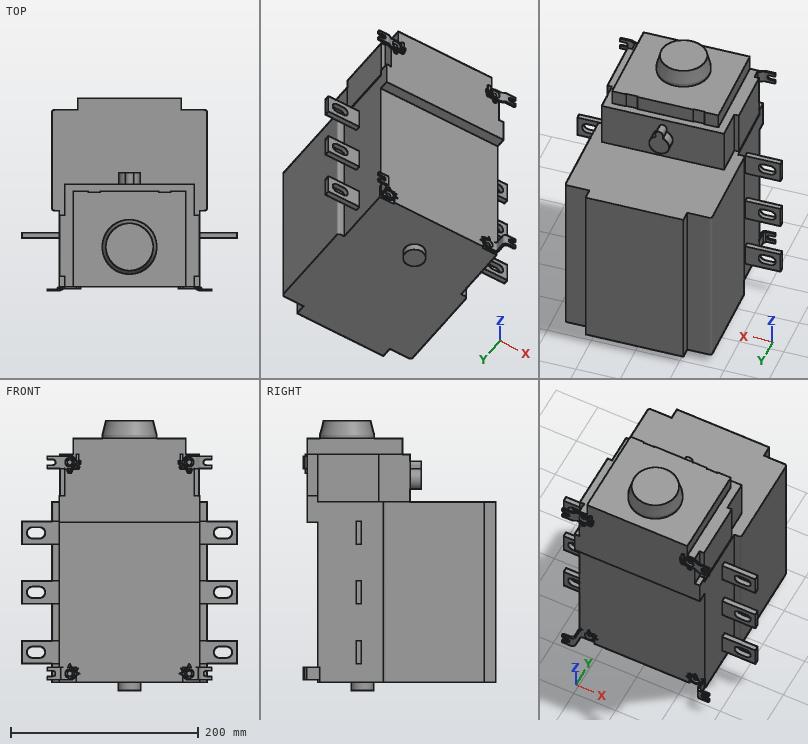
import cadquery as cq
import math

TOTAL_HEIGHT = 288.2
TOTAL_DEPTH = 205.8
BAR_SPAN = 229.7

HOUSING_BOTTOM = 8.6
HOUSING_TOP = 201.5
HOUSING_FRONT = 15.5
NARROW_WIDTH = 150.2
WIDE_WIDTH = 165.7
WIDE_FRONT = 85.5
WIDE_BACK = 193.5
WIDE_CORNER_RADIUS = 3.0
BACK_STEP_WIDTH = 110.7

DRIVE_FRONT = 4.3
DRIVE_BACK = 114.0
DRIVE_TOP = 252.2
DRIVE_CORE_WIDTH = 138.3
DRIVE_CHEEK_WIDTH = 148.7
CHEEK_BACK = 80.7
LIP_BOTTOM = 179.5
LIP_TOP = 207.8
HEAD_WIDTH = 120.2
HEAD_BACK = 106.3
HEAD_TOP = 269.2
HEAD_GROOVE_WIDTH = 12.7
HEAD_GROOVE_DEPTH = 1.0
HEAD_GROOVE_X = 37.8

KNOB_Y = 47.0
KNOB_BASE_DIAMETER = 58.2
KNOB_TOP_DIAMETER = 50.5
KNOB_COLLAR_HEIGHT = 3.7

PLUNGER_BACK = 126.2
PLUNGER_DIAMETER = 22.5
PLUNGER_Z = 226.2
KEY_WIDTH = 8.6
KEY_TOP = 245.0

BOSS_DIAMETER = 24.2
BOSS_Y = 63.5

BAR_HEIGHT = 24.5
BAR_FRONT = 56.5
BAR_THICKNESS = 5.8
BAR_CENTRES = (41.0, 105.0, 168.3)
BAR_HOLE_LENGTH = 19.3
BAR_HOLE_HEIGHT = 11.8
BAR_HOLE_X = 99.7

SHEET = 2.0
BRACKET_WIDTH = 13.5
BRACKET_X = 63.7
UPPER_BRACKET_Z = 243.5
LOWER_BRACKET_Z = 18.2
BRACKET_REACH = 88.0
BEND_RADIUS = 2.0
ARM_INNER_X = 73.2
JOG_START_X = 70.3
JOG_END_X = 75.2
FORK_SLOT_WIDTH = 5.8
FORK_SLOT_END_X = 79.0
FORK_TIP_RADIUS = 1.2
SINK_DIAMETER = 9.8
SINK_FLOOR_DIAMETER = 5.8
UPPER_PAD_FRONT = DRIVE_FRONT - SHEET

TOOTH_ANGLES = (0, 32, 90)
TOOTH_TIP_RADIUS = 10.5
TOOTH_ROOT_RADIUS = 5.8
TOOTH_ROOT_HALF_WIDTH = 2.5
RIM = 1.5
RIM_INNER_REACH = 9.8
RIM_LOW_REACH = 7.2


def block(width, front, back, bottom, top, x=0.0):
    """Box centred on x, spanning front to back and bottom to top."""
    return cq.Workplane("XY").box(width, back - front, top - bottom).translate(
        (x, (front + back) / 2, (bottom + top) / 2)
    )


def slab(front, back, z=0.0):
    """Sketch plane facing -Y with its origin at (0, front, z), and the depth to extrude."""
    plane = cq.Workplane("XZ", origin=(0, front, z))
    return plane, front - back


def both_sides(right_half):
    return right_half.union(right_half.mirror("YZ"))


def housing():
    narrow = block(NARROW_WIDTH, HOUSING_FRONT, WIDE_BACK, HOUSING_BOTTOM, HOUSING_TOP)
    wide = block(WIDE_WIDTH, WIDE_FRONT, WIDE_BACK, HOUSING_BOTTOM, HOUSING_TOP)
    wide = wide.edges("|Z").fillet(WIDE_CORNER_RADIUS)
    back_step = block(BACK_STEP_WIDTH, WIDE_FRONT, TOTAL_DEPTH, HOUSING_BOTTOM, HOUSING_TOP)
    return narrow.union(wide).union(back_step)


def drive_unit():
    core = block(DRIVE_CORE_WIDTH, DRIVE_FRONT, DRIVE_BACK, LIP_BOTTOM, DRIVE_TOP)
    cheeks = block(DRIVE_CHEEK_WIDTH, HOUSING_FRONT, CHEEK_BACK, LIP_BOTTOM, DRIVE_TOP)
    lip = block(NARROW_WIDTH, DRIVE_FRONT, HOUSING_FRONT, LIP_BOTTOM, LIP_TOP)
    head = block(HEAD_WIDTH, DRIVE_FRONT, HEAD_BACK, DRIVE_TOP, HEAD_TOP)
    for x in (-HEAD_GROOVE_X, HEAD_GROOVE_X):
        groove_front = HEAD_BACK - HEAD_GROOVE_DEPTH
        head = head.cut(
            block(HEAD_GROOVE_WIDTH, groove_front, HEAD_BACK, DRIVE_TOP, HEAD_TOP, x)
        )
    return core.union(cheeks).union(lip).union(head)


def knob():
    base_radius = KNOB_BASE_DIAMETER / 2
    collar_top = HEAD_TOP + KNOB_COLLAR_HEIGHT
    profile = (
        cq.Workplane("XZ")
        .moveTo(0, HEAD_TOP)
        .lineTo(base_radius, HEAD_TOP)
        .lineTo(base_radius, collar_top)
        .lineTo(KNOB_TOP_DIAMETER / 2, TOTAL_HEIGHT)
        .lineTo(0, TOTAL_HEIGHT)
        .close()
    )
    return profile.revolve(360, (0, 0, 0), (0, 1, 0)).translate((0, KNOB_Y, 0))


def plunger():
    plane, depth = slab(DRIVE_BACK, PLUNGER_BACK, z=PLUNGER_Z)
    barrel = plane.circle(PLUNGER_DIAMETER / 2).extrude(depth)
    key_centre = KEY_TOP - KEY_WIDTH / 2
    key = block(KEY_WIDTH, DRIVE_BACK, PLUNGER_BACK, PLUNGER_Z, key_centre)
    plane, depth = slab(DRIVE_BACK, PLUNGER_BACK, z=key_centre)
    key_end = plane.circle(KEY_WIDTH / 2).extrude(depth)
    return barrel.union(key).union(key_end)


def bottom_boss():
    return (
        cq.Workplane("XY")
        .center(0, BOSS_Y)
        .circle(BOSS_DIAMETER / 2)
        .extrude(HOUSING_BOTTOM)
    )


def terminal_bar(z):
    back = BAR_FRONT + BAR_THICKNESS
    bar = block(BAR_SPAN, BAR_FRONT, back, z - BAR_HEIGHT / 2, z + BAR_HEIGHT / 2)
    plane, depth = slab(BAR_FRONT, back, z=z)
    holes = (
        plane.pushPoints([(-BAR_HOLE_X, 0), (BAR_HOLE_X, 0)])
        .slot2D(BAR_HOLE_LENGTH, BAR_HOLE_HEIGHT)
        .extrude(depth)
    )
    return bar.cut(holes)


def tooth(angle, front, back, margin):
    """Triangular tooth pointing away from the bracket hole; angle 0 points to -X."""
    tip = TOOTH_TIP_RADIUS + margin
    half_width = TOOTH_ROOT_HALF_WIDTH + margin
    points = [(0, -half_width), (TOOTH_ROOT_RADIUS, -half_width)]
    points += [(tip, -margin), (tip, margin)] if margin else [(tip, 0)]
    points += [(TOOTH_ROOT_RADIUS, half_width), (0, half_width)]
    plane, depth = slab(front, back)
    return plane.polyline(points).close().extrude(depth).rotate((0, 0, 0), (0, 1, 0), 180 + angle)


def seat(front, back, inner_reach, low_reach, outer_x, end_reach, margin=0.0):
    """Toothed seat around the hole, with its teeth pointing to -X and +Z.

    It runs out to outer_x and, opposite the teeth, to end_reach below the hole.
    """
    width = outer_x - BRACKET_X + inner_reach
    middle_x = (outer_x - BRACKET_X - inner_reach) / 2
    shape = block(width, front, back, -end_reach, low_reach, middle_x)
    for angle in TOOTH_ANGLES:
        shape = shape.union(tooth(angle, front, back, margin))
    return shape.translate((BRACKET_X, 0, 0))


def lower_seats():
    half = BRACKET_WIDTH / 2
    end_reach = LOWER_BRACKET_Z - HOUSING_BOTTOM
    pocket = seat(
        HOUSING_FRONT, HOUSING_FRONT + SHEET, half, half, NARROW_WIDTH / 2, end_reach
    )
    return both_sides(pocket.translate((0, 0, LOWER_BRACKET_Z)))


def upper_seats():
    half = BRACKET_WIDTH / 2
    outer_x = DRIVE_CORE_WIDTH / 2
    end_reach = DRIVE_TOP - UPPER_BRACKET_Z
    rim = seat(
        UPPER_PAD_FRONT, DRIVE_FRONT, RIM_INNER_REACH, RIM_LOW_REACH, outer_x, end_reach, RIM
    )
    pocket = seat(UPPER_PAD_FRONT, DRIVE_FRONT, half, half, outer_x, end_reach)
    upside_down = rim.cut(pocket).mirror("XY")
    return both_sides(upside_down.translate((0, 0, UPPER_BRACKET_Z)))


def bracket_outline():
    """Flat outline: round pad end, straight strip and forked ear, centred on Z = 0."""
    half = BRACKET_WIDTH / 2
    plane, depth = slab(0, HOUSING_FRONT + SHEET)
    pad_end = plane.center(BRACKET_X, 0).circle(half).extrude(depth)
    strip = block(BRACKET_REACH - BRACKET_X, 0, HOUSING_FRONT + SHEET, -half, half)
    strip = strip.translate(((BRACKET_REACH + BRACKET_X) / 2, 0, 0))
    slot_length = 2 * (BRACKET_REACH - FORK_SLOT_END_X)
    plane, depth = slab(0, HOUSING_FRONT + SHEET)
    slot = plane.center(BRACKET_REACH, 0).slot2D(slot_length, FORK_SLOT_WIDTH).extrude(depth)
    strip = strip.cut(slot).edges("|Y and >X").fillet(FORK_TIP_RADIUS)
    return pad_end.union(strip)


def sink(pad_front):
    """Conical hole through the pad."""
    cone = cq.Solid.makeCone(
        SINK_DIAMETER / 2,
        SINK_FLOOR_DIAMETER / 2,
        SHEET,
        pnt=cq.Vector(BRACKET_X, pad_front, 0),
        dir=cq.Vector(0, 1, 0),
    )
    return cq.Workplane(obj=cone)


def finish_brackets(strip, pad_front, z):
    """Trim a bent strip to the flat outline, sink its hole and place a pair."""
    bracket = strip.intersect(bracket_outline()).cut(sink(pad_front))
    return both_sides(bracket.translate((0, 0, z)))


def upper_brackets():
    pad_end = BRACKET_X - BRACKET_WIDTH / 2
    jog_angle = math.atan2(UPPER_PAD_FRONT, JOG_END_X - JOG_START_X)
    back_shift = SHEET * math.tan(jog_angle / 2)
    profile = cq.Workplane("XY").polyline(
        [
            (pad_end, DRIVE_FRONT),
            (pad_end, UPPER_PAD_FRONT),
            (JOG_START_X, UPPER_PAD_FRONT),
            (JOG_END_X, 0),
            (BRACKET_REACH, 0),
            (BRACKET_REACH, SHEET),
            (JOG_END_X + back_shift, SHEET),
            (JOG_START_X + back_shift, DRIVE_FRONT),
        ]
    )
    strip = profile.close().extrude(BRACKET_WIDTH / 2, both=True)
    inner_bends = [
        (JOG_START_X, UPPER_PAD_FRONT, 0),
        (JOG_END_X + back_shift, SHEET, 0),
    ]
    outer_bends = [
        (JOG_START_X + back_shift, DRIVE_FRONT, 0),
        (JOG_END_X, 0, 0),
    ]
    for bends, radius in ((inner_bends, BEND_RADIUS), (outer_bends, BEND_RADIUS + SHEET)):
        for bend in bends:
            strip = strip.edges(cq.NearestToPointSelector(bend)).fillet(radius)
    return finish_brackets(strip, UPPER_PAD_FRONT, UPPER_BRACKET_Z)


def lower_brackets():
    pad_end = BRACKET_X - BRACKET_WIDTH / 2
    pad_back = HOUSING_FRONT + SHEET
    arm_outer_x = ARM_INNER_X + SHEET
    outer_radius = BEND_RADIUS + SHEET
    profile = (
        cq.Workplane("XY")
        .moveTo(pad_end, pad_back)
        .lineTo(pad_end, HOUSING_FRONT)
        .lineTo(ARM_INNER_X - BEND_RADIUS, HOUSING_FRONT)
        .radiusArc((ARM_INNER_X, HOUSING_FRONT - BEND_RADIUS), BEND_RADIUS)
        .lineTo(ARM_INNER_X, outer_radius)
        .radiusArc((ARM_INNER_X + outer_radius, 0), -outer_radius)
        .lineTo(BRACKET_REACH, 0)
        .lineTo(BRACKET_REACH, SHEET)
        .lineTo(arm_outer_x + BEND_RADIUS, SHEET)
        .radiusArc((arm_outer_x, outer_radius), -BEND_RADIUS)
        .lineTo(arm_outer_x, pad_back - outer_radius)
        .radiusArc((arm_outer_x - outer_radius, pad_back), -outer_radius)
        .close()
    )
    strip = profile.extrude(BRACKET_WIDTH / 2, both=True)
    return finish_brackets(strip, HOUSING_FRONT, LOWER_BRACKET_Z)


result = housing().union(drive_unit()).cut(lower_seats())
for feature in (
    knob(),
    plunger(),
    bottom_boss(),
    upper_seats(),
    upper_brackets(),
    lower_brackets(),
):
    result = result.union(feature)
for bar_z in BAR_CENTRES:
    result = result.union(terminal_bar(bar_z))